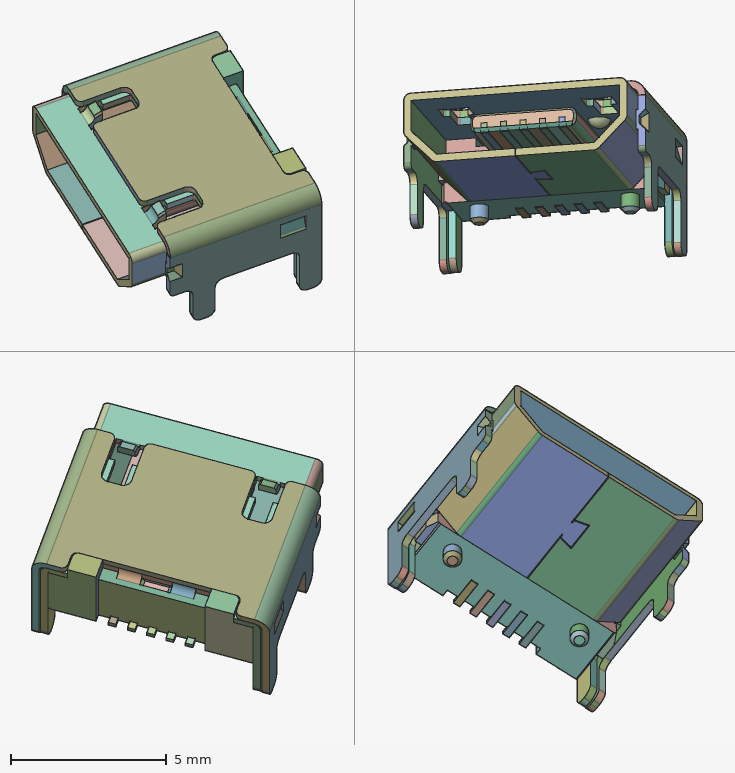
import cadquery as cq


WIDTH = 8.0
LENGTH = 6.6
SHEET = 0.25
COVER_TOP = 4.4
SIDE_GAP = 0.06
LEG_WIDTH = 0.79
LEG_FILLET = 0.3
SIDE_EDGE_Z = 2.02
REAR_LEG_FRONT = LENGTH - LEG_WIDTH

COVER_FRONT = 1.22
SIDE_LEAD = 0.02
COVER_BEND = 0.5
FRONT_LEG_Y = 2.02
FRONT_LEG_Z = 0.4
COVER_TIP_RADIUS = 0.3
SIDE_CORNER = 0.18
NOTCH_HALF = 2.84
NOTCH_FRONT = 5.89
NOTCH_RADIUS = 0.2
SLOT_X = 2.37
SLOT_HALF = 0.5
SLOT_REAR = 3.01
SLOT_RADIUS = 0.28
SLOT_MOUTH = 0.2
DENT_LENGTH = 0.45
DENT_Z = 3.09
DENT_HEIGHT = 0.65
DENT_DEPTH = 0.21
DENT_TAPER = 0.2
BARB_FRONT = 5.14
BARB_LENGTH = 0.9
BARB_BOTTOM = 2.95
BARB_TOP = 3.58
BARB_DEPTH = 0.2
BARB_LIP = 0.08
BARB_LIP_DEPTH = 0.04

SHELL_HALF = WIDTH / 2 - SHEET - SIDE_GAP
SHELL_TOP = COVER_TOP - SHEET
SHELL_BOTTOM = 1.79
INNER_HALF = SHELL_HALF - SHEET
INNER_TOP = SHELL_TOP - SHEET
INNER_BOTTOM = SHELL_BOTTOM + SHEET
MITRE = 0.85
MOUTH_LENGTH = 4.51
SHELL_SIDE_Z = 2.56
SHELL_LEG_FRONT = 5.86
SHELL_TIP_RADIUS = 0.36
SHELL_NOTCH_HALF = 2.8
NARROW_HALF = 0.3
NARROW_RADIUS = 0.06
WIDE_REAR = 2.01
WIDE_RADIUS = 0.06
HOOK_REAR = 1.71
HOOK_NECK = 1.43
HOOK_TOP = 4.53
HOOK_FRONT_Z = 4.43
HOOK_BACK_Z = 4.2
HOOK_CURL = 0.26
HOOK_CHAMFER = 0.06
SEAM = 0.03
DOVETAIL_FRONT = 1.81
DOVETAIL_LENGTH = 1.0
DOVETAIL_REACH = 0.51
DOVETAIL_FLARE = 0.12
DIMPLE_X = 1.86
DIMPLE_Y = 3.6
DIMPLE_HALF = 0.38
DIMPLE_DEPTH = 0.26

HOUSING_CHAMFER = 0.05
REAR_GAP_HALF = 1.83
REAR_GAP_FRONT = 6.35
RECESS_HALF = 2.45
RECESS_Z = 3.62
RAMP_HALF = 1.3
RIDGE_REAR = 6.14
RIDGE_GAP_HALF = 0.51
RIDGE_GAP_TAPER = 0.1
TONGUE_HALF = 1.74
TONGUE_TOP = 3.61
TONGUE_BOTTOM = 3.0
TONGUE_FRONT = 1.0
TONGUE_CORNER = 0.21
TONGUE_CHAMFER = 0.08
TONGUE_LEAD = 0.13
EAR_FLAT = 0.06
EAR_REAR = 5.52
EAR_TOP = 2.48
EAR_BEVEL = 0.39
PEG_X = 2.5
PEG_Y = 5.14
PEG_DIAMETER = 0.6
PEG_TIP_Z = 1.22
PEG_CHAMFER = 0.13

CONTACT_COUNT = 5
CONTACT_PITCH = 0.65
CONTACT_WIDTH = 0.26
CONTACT_THICKNESS = 0.16
CONTACT_BOTTOM = 2.97
CONTACT_TIP_WIDTH = 0.2
CONTACT_TIP_TOP = 3.29
CONTACT_TIP_LENGTH = 0.2
RISER_FRONT = 5.6
TAIL_BOTTOM = 1.76


def box(x0, x1, y0, y1, z0, z1):
    """Axis-aligned block between two opposite corners."""
    return cq.Workplane("XY").box(x1 - x0, y1 - y0, z1 - z0, centered=False).translate((x0, y0, z0))


def mirrored(feature):
    """A feature together with its mirror image across X = 0."""
    return feature.union(feature.mirror("YZ"))


def channel(half, top, radius, y0, y1):
    """Sheet bent to an upside-down U, with its side walls running down to Z = 0."""
    outer = box(-half, half, y0, y1, 0, top).edges("|Y and >Z").fillet(radius)
    inner = box(-half + SHEET, half - SHEET, y0, y1, 0, top - SHEET)
    if radius > SHEET:
        inner = inner.edges("|Y and >Z").fillet(radius - SHEET)
    return outer.cut(inner)


def across(points):
    """Closed Y-Z outline, extruded across the full width."""
    return cq.Workplane("YZ").polyline(points).close().extrude(WIDTH / 2, both=True)


def corner(y, z):
    """Selector for an edge along X at a given Y and Z."""
    reach = 0.01
    return cq.selectors.BoxSelector(
        (-WIDTH, y - reach, z - reach), (WIDTH, y + reach, z + reach)
    )


def cover_silhouette():
    """Side outline of the cover: body, front legs and rear legs."""
    front = COVER_FRONT - SIDE_LEAD
    leg_rear = FRONT_LEG_Y + LEG_WIDTH
    body = across([
        (COVER_FRONT, COVER_TOP),
        (COVER_FRONT, COVER_TOP - COVER_BEND),
        (front, COVER_TOP - COVER_BEND),
        (front, SIDE_EDGE_Z),
        (FRONT_LEG_Y, SIDE_EDGE_Z),
        (FRONT_LEG_Y, FRONT_LEG_Z),
        (leg_rear, FRONT_LEG_Z),
        (leg_rear, SIDE_EDGE_Z),
        (REAR_LEG_FRONT, SIDE_EDGE_Z),
        (REAR_LEG_FRONT, 0),
        (LENGTH, 0),
        (LENGTH, COVER_TOP),
    ])
    for y in (FRONT_LEG_Y, leg_rear, REAR_LEG_FRONT):
        body = body.edges(corner(y, SIDE_EDGE_Z)).fillet(LEG_FILLET)
    for y, z in ((FRONT_LEG_Y, FRONT_LEG_Z), (leg_rear, FRONT_LEG_Z), (REAR_LEG_FRONT, 0), (LENGTH, 0)):
        body = body.edges(corner(y, z)).fillet(COVER_TIP_RADIUS)
    return body.edges(corner(front, SIDE_EDGE_Z)).fillet(SIDE_CORNER)


def cover_notch():
    """Rear notch of the roof, with rounded inner corners and flared mouth corners."""
    z0 = COVER_TOP - SHEET
    notch = box(-NOTCH_HALF, NOTCH_HALF, NOTCH_FRONT, LENGTH, z0, COVER_TOP)
    notch = notch.edges("|Z and <Y").fillet(NOTCH_RADIUS)
    return notch.union(mirrored(mouth_flare(NOTCH_HALF, LENGTH, -NOTCH_RADIUS, z0)))


def mouth_flare(x, y, size, z0):
    """Corner piece that widens a slot mouth with a rounded edge; size is signed along Y."""
    reach = abs(size)
    return (
        cq.Workplane("XY", origin=(0, 0, z0))
        .moveTo(x, y)
        .lineTo(x + reach, y)
        .radiusArc((x, y + size), size)
        .close()
        .extrude(SHEET)
    )


def cover_slot():
    """Latch slot on the +X side, open to the front."""
    z0 = COVER_TOP - SHEET
    slot = box(SLOT_X - SLOT_HALF, SLOT_X + SLOT_HALF, COVER_FRONT, SLOT_REAR, z0, COVER_TOP)
    slot = slot.edges("|Z and >Y").fillet(SLOT_RADIUS)
    flare = mouth_flare(SLOT_HALF, COVER_FRONT, -SLOT_MOUTH, z0).mirror("XZ", (0, COVER_FRONT, 0))
    return slot.union(mirrored(flare).translate((SLOT_X, 0, 0)))


def cover_dent():
    """Tapered pocket at the front edge of the +X wall, narrowing inwards."""
    front = COVER_FRONT - SIDE_LEAD
    half = DENT_HEIGHT / 2
    return (
        cq.Workplane("YZ", origin=(WIDTH / 2, front, DENT_Z))
        .rect(2 * DENT_LENGTH, 2 * half)
        .workplane(offset=-DENT_DEPTH)
        .rect(2 * (DENT_LENGTH - DENT_TAPER), 2 * (half - DENT_TAPER))
        .loft()
    )


def cover_pad(y0, y1, z0, z1):
    """Pressed-in metal that bridges the clearance to the shell on the +X side."""
    return box(SHELL_HALF, SHELL_HALF + SIDE_GAP, y0, y1, z0, z1)


def barb_pocket():
    """Sloped pocket in the +X wall: deepest at the top, running out at the bottom."""
    outer = WIDTH / 2
    return (
        cq.Workplane("XZ", origin=(0, BARB_FRONT, 0))
        .polyline([
            (outer, BARB_BOTTOM),
            (outer - BARB_LIP_DEPTH, BARB_BOTTOM + BARB_LIP),
            (outer - BARB_DEPTH, BARB_TOP),
            (outer, BARB_TOP),
        ])
        .close()
        .extrude(-BARB_LENGTH)
    )


def make_cover():
    front = COVER_FRONT - SIDE_LEAD
    cover = channel(WIDTH / 2, COVER_TOP, COVER_BEND, front, LENGTH).intersect(cover_silhouette())
    cover = cover.cut(cover_notch())
    cover = cover.cut(mirrored(cover_slot()))
    dent_pad = cover_pad(front, front + DENT_LENGTH, DENT_Z - DENT_HEIGHT / 2, DENT_Z + DENT_HEIGHT / 2)
    barb_pad = cover_pad(BARB_FRONT, BARB_FRONT + BARB_LENGTH, BARB_BOTTOM, BARB_TOP)
    cover = cover.union(mirrored(dent_pad.union(barb_pad)))
    return cover.cut(mirrored(cover_dent().union(barb_pocket())))


def shell_tube():
    """Closed front tube with mitred lower corners; sharp inside bends, rounded outside."""
    knee = INNER_BOTTOM + MITRE
    flat = INNER_HALF - MITRE
    right = [(flat, INNER_BOTTOM), (INNER_HALF, knee), (INNER_HALF, INNER_TOP)]
    left = [(-x, z) for x, z in reversed(right)]
    inside = right + left
    outer = cq.Workplane("XZ").polyline(inside).close().offset2D(SHEET, "arc").extrude(-MOUTH_LENGTH)
    inner = cq.Workplane("XZ").polyline(inside).close().extrude(-MOUTH_LENGTH)
    return outer.cut(inner)


def shell_rear():
    """Open rear section whose side walls carry the rear legs."""
    side = across([
        (MOUTH_LENGTH, SHELL_TOP),
        (MOUTH_LENGTH, SHELL_SIDE_Z),
        (SHELL_LEG_FRONT, SHELL_SIDE_Z),
        (SHELL_LEG_FRONT, 0),
        (LENGTH, 0),
        (LENGTH, SHELL_TOP),
    ])
    side = side.edges(corner(SHELL_LEG_FRONT, SHELL_SIDE_Z)).fillet(LEG_FILLET)
    for y in (SHELL_LEG_FRONT, LENGTH):
        side = side.edges(corner(y, 0)).fillet(SHELL_TIP_RADIUS)
    rear = channel(SHELL_HALF, SHELL_TOP, SHEET, MOUTH_LENGTH, LENGTH).intersect(side)
    return rear.cut(
        box(-SHELL_NOTCH_HALF, SHELL_NOTCH_HALF, NOTCH_FRONT, LENGTH, INNER_TOP, SHELL_TOP)
    )


def shell_slot():
    """Stepped opening around the latch hook on the +X side."""
    narrow = box(SLOT_X - NARROW_HALF, SLOT_X + NARROW_HALF, COVER_FRONT, SLOT_REAR, INNER_TOP, SHELL_TOP)
    narrow = narrow.edges("|Z and >Y").fillet(NARROW_RADIUS)
    wide = box(SLOT_X - SLOT_HALF, SLOT_X + SLOT_HALF, COVER_FRONT, WIDE_REAR, INNER_TOP, SHELL_TOP)
    wide = wide.edges("|Z and >Y").fillet(WIDE_RADIUS)
    return narrow.union(wide)


def latch_hook():
    """Strip curled up from the front of the slot, with a sloped, chamfered tip."""
    run = HOOK_REAR - COVER_FRONT
    rise = HOOK_BACK_Z - INNER_TOP
    outer_curl = (run ** 2 + rise ** 2) / (2 * rise)
    profile = (
        cq.Workplane("YZ", origin=(SLOT_X - NARROW_HALF, 0, 0))
        .moveTo(COVER_FRONT, INNER_TOP)
        .lineTo(COVER_FRONT, SHELL_TOP)
        .radiusArc((HOOK_NECK, HOOK_FRONT_Z), -HOOK_CURL)
        .lineTo(HOOK_REAR, HOOK_TOP)
        .lineTo(HOOK_REAR, HOOK_BACK_Z)
        .radiusArc((COVER_FRONT, INNER_TOP), outer_curl)
        .close()
    )
    hook = profile.extrude(2 * NARROW_HALF)
    tip_edges = cq.selectors.BoxSelector(
        (0, HOOK_NECK, HOOK_FRONT_Z), (WIDTH, HOOK_REAR, HOOK_TOP)
    )
    return hook.edges(tip_edges).edges("not |X").chamfer(HOOK_CHAMFER)


def shell_dimple():
    """Rounded bump under the roof on the +X side: a cap of a sphere."""
    radius = (DIMPLE_HALF ** 2 + DIMPLE_DEPTH ** 2) / (2 * DIMPLE_DEPTH)
    ball = cq.Workplane("XY").sphere(radius)
    ball = ball.translate((DIMPLE_X, DIMPLE_Y, INNER_TOP - DIMPLE_DEPTH + radius))
    return ball.intersect(box(0, WIDTH, 0, LENGTH, 0, SHELL_TOP - SHEET / 2))


def shell_seam():
    """Thin parting gap along the floor, with a dovetail step to the +X side."""
    rear = DOVETAIL_FRONT + DOVETAIL_LENGTH
    half = SEAM / 2
    floor = (0, 0, SHELL_BOTTOM)
    tail = [
        (0, DOVETAIL_FRONT + DOVETAIL_FLARE),
        (DOVETAIL_REACH, DOVETAIL_FRONT),
        (DOVETAIL_REACH, rear),
        (0, rear - DOVETAIL_FLARE),
    ]
    outer = cq.Workplane("XY", origin=floor).polyline(tail).close().offset2D(half).extrude(SHEET)
    inner = cq.Workplane("XY", origin=floor).polyline(tail).close().offset2D(-half).extrude(SHEET)
    ring = outer.cut(inner).cut(box(-WIDTH, -half, 0, LENGTH, 0, COVER_TOP))
    ring = ring.cut(
        box(-half, half, DOVETAIL_FRONT + 2 * DOVETAIL_FLARE, rear - 2 * DOVETAIL_FLARE, 0, COVER_TOP)
    )
    front_gap = box(-half, half, 0, DOVETAIL_FRONT + DOVETAIL_FLARE, SHELL_BOTTOM, INNER_BOTTOM)
    rear_gap = box(-half, half, rear - DOVETAIL_FLARE, MOUTH_LENGTH, SHELL_BOTTOM, INNER_BOTTOM)
    return ring.union(front_gap).union(rear_gap)


def make_shell():
    shell = shell_tube().union(shell_rear())
    shell = shell.cut(mirrored(shell_slot())).cut(shell_seam())
    shell = shell.union(mirrored(latch_hook()))
    return shell.union(mirrored(shell_dimple()))


def make_contact(x):
    """One contact: beam under the tongue, upturned tip, riser and solder tail."""
    half = CONTACT_WIDTH / 2
    tip_half = CONTACT_TIP_WIDTH / 2
    beam_top = CONTACT_BOTTOM + CONTACT_THICKNESS
    riser_rear = RISER_FRONT + CONTACT_THICKNESS
    beam = box(-half, half, TONGUE_FRONT + TONGUE_CHAMFER, riser_rear, CONTACT_BOTTOM, beam_top)
    tip = box(
        -tip_half, tip_half,
        TONGUE_FRONT, TONGUE_FRONT + CONTACT_TIP_LENGTH,
        beam_top, CONTACT_TIP_TOP,
    )
    riser = box(-half, half, RISER_FRONT, riser_rear, TAIL_BOTTOM, beam_top)
    tail = box(-half, half, RISER_FRONT, LENGTH, TAIL_BOTTOM, TAIL_BOTTOM + CONTACT_THICKNESS)
    return beam.union(tip).union(riser).union(tail).translate((x, 0, 0))


def housing_block():
    """Rear block with its rear posts, top recess, ramp and ridge."""
    block = box(-INNER_HALF, INNER_HALF, MOUTH_LENGTH, LENGTH, SHELL_BOTTOM, INNER_TOP)
    block = block.edges("|Y and <Z").chamfer(HOUSING_CHAMFER)
    raised = box(-SHELL_NOTCH_HALF, SHELL_NOTCH_HALF, NOTCH_FRONT, LENGTH, INNER_TOP, COVER_TOP)
    raised = raised.edges("|Z and <Y").fillet(NOTCH_RADIUS)
    block = block.union(raised)
    block = block.cut(box(-REAR_GAP_HALF, REAR_GAP_HALF, NOTCH_FRONT, LENGTH, INNER_TOP, COVER_TOP))
    block = block.cut(box(-REAR_GAP_HALF, REAR_GAP_HALF, REAR_GAP_FRONT, LENGTH, 0, COVER_TOP))

    ramp_front = NOTCH_FRONT - (INNER_TOP - RECESS_Z)
    block = block.cut(box(-RECESS_HALF, RECESS_HALF, MOUTH_LENGTH, ramp_front, RECESS_Z, INNER_TOP))
    middle = box(-RAMP_HALF, RAMP_HALF, 0, LENGTH, 0, COVER_TOP)
    ramp = across([(ramp_front, RECESS_Z), (NOTCH_FRONT, INNER_TOP), (ramp_front, INNER_TOP)])
    block = block.cut(ramp.intersect(middle))
    return block.union(ridge()).cut(ridge_gap())


def ridge():
    """Hollow-curved ridge that runs out into the top of the block at its rear."""
    return (
        cq.Workplane("YZ", origin=(-RAMP_HALF, 0, 0))
        .moveTo(NOTCH_FRONT, INNER_TOP)
        .lineTo(NOTCH_FRONT, SHELL_TOP)
        .radiusArc((RIDGE_REAR, INNER_TOP), -SHEET)
        .close()
        .extrude(2 * RAMP_HALF)
    )


def ridge_gap():
    """Gap through the middle of the ridge, sunk into the block with sloped sides."""
    floor_half = RIDGE_GAP_HALF - RIDGE_GAP_TAPER
    floor_z = INNER_TOP - RIDGE_GAP_TAPER
    return (
        cq.Workplane("XZ", origin=(0, NOTCH_FRONT, 0))
        .polyline([
            (-floor_half, floor_z),
            (floor_half, floor_z),
            (RIDGE_GAP_HALF, INNER_TOP),
            (RIDGE_GAP_HALF, SHELL_TOP),
            (-RIDGE_GAP_HALF, SHELL_TOP),
            (-RIDGE_GAP_HALF, INNER_TOP),
        ])
        .close()
        .extrude(NOTCH_FRONT - RIDGE_REAR)
    )


def tongue():
    """Flat tongue with rounded corners and a chamfered leading edge, steeper underneath."""
    body = box(-TONGUE_HALF, TONGUE_HALF, TONGUE_FRONT, MOUTH_LENGTH, TONGUE_BOTTOM, TONGUE_TOP)
    body = body.edges("|Y").fillet(TONGUE_CORNER)
    body = body.faces("<Y").edges().chamfer(TONGUE_CHAMFER)
    return body.cut(across([
        (TONGUE_FRONT, TONGUE_BOTTOM),
        (TONGUE_FRONT, TONGUE_BOTTOM + TONGUE_LEAD),
        (TONGUE_FRONT + TONGUE_CHAMFER, TONGUE_BOTTOM),
    ]))


def ear():
    """Low side ear on the +X side with a slanted front."""
    return (
        cq.Workplane("XY", origin=(0, 0, SHELL_BOTTOM + HOUSING_CHAMFER))
        .polyline([
            (INNER_HALF, MOUTH_LENGTH),
            (INNER_HALF + EAR_FLAT, MOUTH_LENGTH),
            (SHELL_HALF, MOUTH_LENGTH + EAR_BEVEL),
            (SHELL_HALF, EAR_REAR),
            (INNER_HALF, EAR_REAR),
        ])
        .close()
        .extrude(EAR_TOP - SHELL_BOTTOM - HOUSING_CHAMFER)
    )


def peg():
    """Locating peg on the +X side, with a chamfered tip."""
    pin = (
        cq.Workplane("XY", origin=(PEG_X, PEG_Y, PEG_TIP_Z))
        .circle(PEG_DIAMETER / 2)
        .extrude(SHELL_BOTTOM - PEG_TIP_Z)
    )
    return pin.faces("<Z").edges().chamfer(PEG_CHAMFER)


def make_housing(contact_solids):
    housing = housing_block().union(tongue()).union(mirrored(ear())).union(mirrored(peg()))
    for solid in contact_solids:
        housing = housing.cut(cq.Workplane(solid))
    return housing


cover = make_cover().solids()
shell = make_shell().solids()
contacts = []
for index in range(CONTACT_COUNT):
    offset = index - (CONTACT_COUNT - 1) / 2
    contacts.append(make_contact(offset * CONTACT_PITCH).solids().val())
housing = make_housing(contacts).solids()

result = cq.Compound.makeCompound([cover.val(), shell.val(), housing.val(), *contacts])